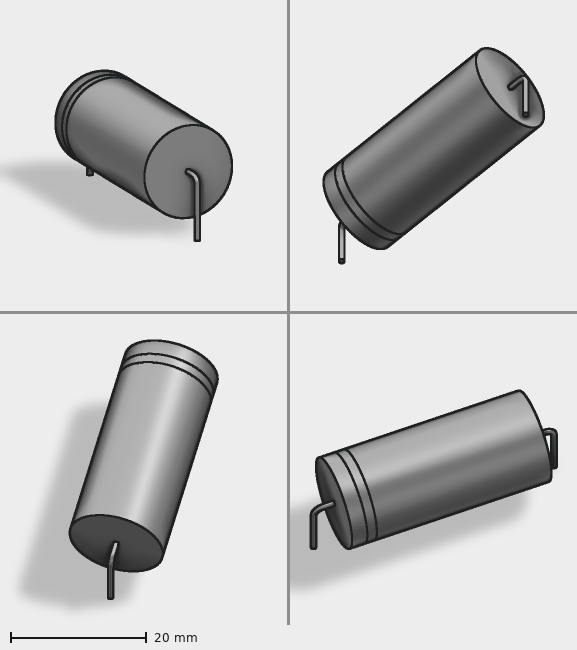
import cadquery as cq

overall_length = 39.05
can_diameter = 14.2
can_length = 31.7
overall_height = 16.75
lead_diameter = 0.82
bend_radius = 1.4
band_offset = 2.42
band_width = 1.52
band_thickness = 0.2

can_radius = can_diameter / 2
can_end = can_length / 2
lead_x = (overall_length - lead_diameter) / 2
lead_tip_z = can_radius - overall_height


def make_band():
    """Marking ring, flush with the outside of the can."""
    return (
        cq.Workplane("YZ", origin=(band_offset - can_end, 0, 0))
        .circle(can_radius)
        .circle(can_radius - band_thickness)
        .extrude(band_width)
    )


def make_can(band):
    """Solid cylinder with a shallow groove that holds the band."""
    cylinder = cq.Workplane("YZ", origin=(-can_end, 0, 0)).circle(can_radius).extrude(can_length)
    return cylinder.cut(band)


def make_lead(side):
    """Round wire from the can's end face, bent down; side is -1 or +1 along X."""
    bend_start_x = lead_x - bend_radius
    bend_middle = bend_radius * 0.5 ** 0.5
    path = (
        cq.Workplane("XZ")
        .moveTo(side * can_end, 0)
        .lineTo(side * bend_start_x, 0)
        .threePointArc(
            (side * (bend_start_x + bend_middle), bend_middle - bend_radius),
            (side * lead_x, -bend_radius),
        )
        .lineTo(side * lead_x, lead_tip_z)
    )
    return (
        cq.Workplane("YZ", origin=(side * can_end, 0, 0))
        .circle(lead_diameter / 2)
        .sweep(path)
    )


band = make_band()
can = make_can(band)
leads = [make_lead(side) for side in (-1, 1)]

result = cq.Compound.makeCompound([can.val(), band.val(), *[lead.val() for lead in leads]])